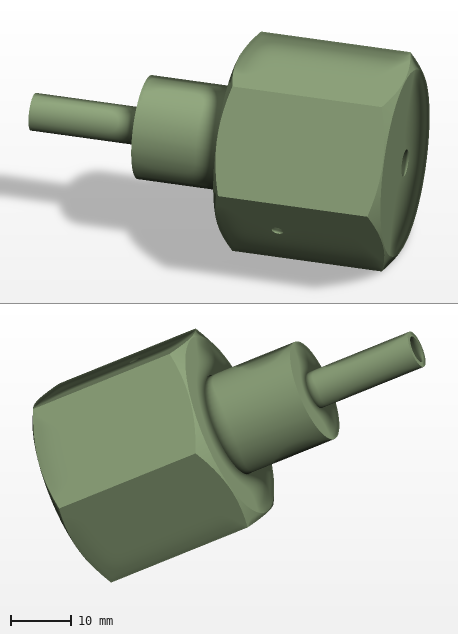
import cadquery as cq
import math

total_length = 63.8
collar_start = 19.15
nut_length = 28.7
nut_start = total_length - nut_length
nut_middle = total_length - nut_length / 2

tube_diameter = 6.3
bore_diameter = 4.6
collar_diameter = 17.4

nut_across_flats = 31.8
nut_across_corners = nut_across_flats / math.cos(math.radians(30))
nut_face_diameter = 31.4
chamfer_angle = 30.0
chamfer_drop = (nut_across_corners - nut_face_diameter) / 2
chamfer_length = chamfer_drop * math.tan(math.radians(chamfer_angle))

gap_width = 0.1
gap_depth = 1.3

vent_diameter = 2.0
vent_x = 45.6
flat_tilt = 60.0


def cylinder_on_axis(diameter, start, end):
    """Cylinder about the X axis between two axial positions."""
    plane = cq.Workplane("YZ", origin=(start, 0, 0))
    return plane.circle(diameter / 2).extrude(end - start)


def hex_nut():
    """Hexagonal prism whose corners are cut back by a cone at both ends."""
    prism = (
        cq.Workplane("YZ", origin=(nut_start, 0, 0))
        .polygon(6, nut_across_corners)
        .extrude(nut_length)
    )
    chamfered_round = (
        cylinder_on_axis(nut_across_corners, nut_start, total_length)
        .faces("<X or >X")
        .chamfer(chamfer_length, chamfer_drop)
    )
    return prism.intersect(chamfered_round)


def collar_gap():
    """Thin ring around the collar, sunk into the front face of the nut."""
    gap_end = nut_start + gap_depth
    outside = cylinder_on_axis(collar_diameter + 2 * gap_width, nut_start, gap_end)
    return outside.cut(cylinder_on_axis(collar_diameter, nut_start, gap_end))


def vent():
    """Cross hole through the nut axis, tilted to meet two flats squarely."""
    return (
        cq.Workplane("XY", origin=(vent_x, 0, 0))
        .circle(vent_diameter / 2)
        .extrude(nut_across_corners / 2, both=True)
        .rotate((0, 0, 0), (1, 0, 0), -flat_tilt)
    )


tube = cylinder_on_axis(tube_diameter, 0, nut_middle)
collar = cylinder_on_axis(collar_diameter, collar_start, nut_middle)
bore = cylinder_on_axis(bore_diameter, 0, total_length)

result = hex_nut().cut(collar_gap()).union(collar).union(tube).cut(bore).cut(vent())